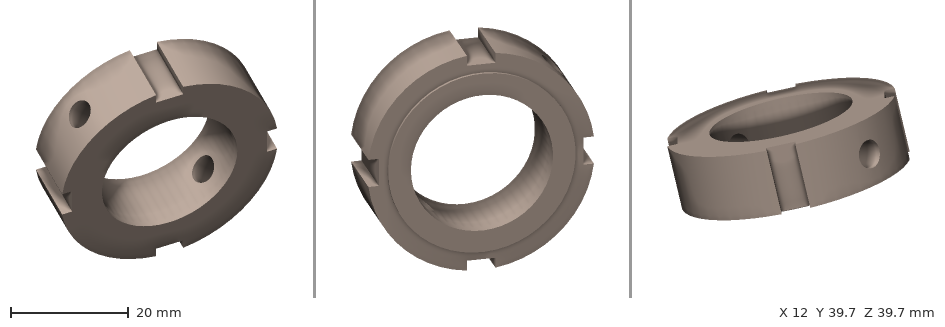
import cadquery as cq
import math

width = 12.0
collar_height = 0.5
collar_diameter = 33.0
bore_diameter = 25.0
size_across_slots = 39.7
slot_width = 5.0
slot_floor_radius = 18.0
slot_count = 4
cross_hole_diameter = 4.92
cross_hole_tilt = 45.0

outer_radius = math.hypot(size_across_slots / 2, slot_width / 2)


def make_ring():
    """Ring body with a thin raised collar on its -X face and a plain bore."""
    body = cq.Workplane("YZ").workplane(offset=collar_height).circle(outer_radius).extrude(width - collar_height)
    collar = cq.Workplane("YZ").circle(collar_diameter / 2).extrude(width)
    bore = cq.Workplane("YZ").circle(bore_diameter / 2).extrude(width)
    return body.union(collar).cut(bore)


def make_slot(angle):
    """Cutter for one spanner slot, turned about X from the +Z position."""
    cutter = cq.Workplane("XY").workplane(offset=slot_floor_radius)
    cutter = cutter.center(width / 2, 0).rect(width, slot_width).extrude(outer_radius - slot_floor_radius)
    return cutter.rotate((0, 0, 0), (1, 0, 0), angle)


def make_cross_hole():
    """Cutter for the radial hole that passes through both sides of the ring."""
    cutter = cq.Workplane("XY").center(width / 2, 0).circle(cross_hole_diameter / 2)
    return cutter.extrude(outer_radius, both=True).rotate((0, 0, 0), (1, 0, 0), cross_hole_tilt)


result = make_ring()
for index in range(slot_count):
    result = result.cut(make_slot(index * 360 / slot_count))
result = result.cut(make_cross_hole())